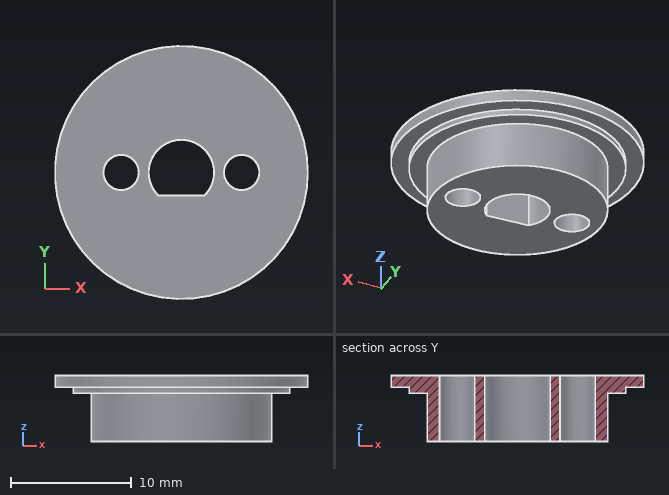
import cadquery as cq

hub_diameter = 15.0
hub_height = 4.0
step_diameter = 18.0
step_height = 0.5
flange_diameter = 21.0
flange_height = 1.0
total_height = hub_height + step_height + flange_height

bore_diameter = 5.4
flat_distance = 1.9

side_hole_diameter = 2.9
side_hole_offset = 5.0


def make_body():
    """Hub, step and flange stacked on a common axis."""
    return (
        cq.Workplane("XY")
        .circle(hub_diameter / 2)
        .extrude(hub_height)
        .faces(">Z")
        .workplane()
        .circle(step_diameter / 2)
        .extrude(step_height)
        .faces(">Z")
        .workplane()
        .circle(flange_diameter / 2)
        .extrude(flange_height)
    )


def make_shaft_bore():
    """Cutter for the D-shaped bore, through the full height."""
    bore = cq.Workplane("XY").circle(bore_diameter / 2).extrude(total_height)
    kept_side = (
        cq.Workplane("XY")
        .center(0, -flat_distance)
        .rect(bore_diameter, flat_distance + bore_diameter / 2, centered=(True, False))
        .extrude(total_height)
    )
    return bore.intersect(kept_side)


def make_side_holes():
    """Cutter for the two round holes, through the full height."""
    return (
        cq.Workplane("XY")
        .pushPoints([(-side_hole_offset, 0), (side_hole_offset, 0)])
        .circle(side_hole_diameter / 2)
        .extrude(total_height)
    )


result = make_body().cut(make_shaft_bore()).cut(make_side_holes())